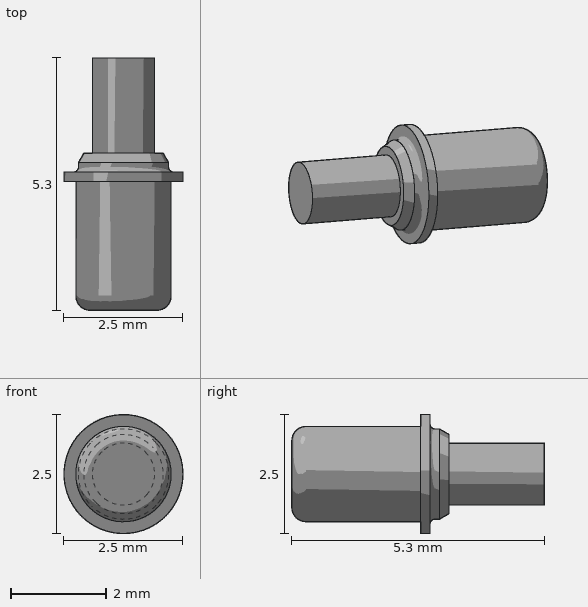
import cadquery as cq
import math

total_length = 5.3
stem_length = 2.0
collar_length = 0.4
flange_thickness = 0.2

stem_radius = 0.65
collar_radius = 0.95
flange_radius = 1.25
body_radius = 1.0

nose_fillet = 0.3
collar_fillet = 0.1
collar_taper_length = 0.2
collar_taper_angle = 30.0

body_length = total_length - stem_length - collar_length - flange_thickness
nose_y = -body_length
collar_end_y = flange_thickness + collar_length
stem_end_y = collar_end_y + stem_length
collar_end_radius = collar_radius - collar_taper_length * math.tan(math.radians(collar_taper_angle))

nose_mid = nose_fillet * math.sqrt(0.5)
collar_mid = collar_fillet * math.sqrt(0.5)

profile = (
    cq.Workplane("XY")
    .moveTo(0, nose_y)
    .lineTo(body_radius - nose_fillet, nose_y)
    .threePointArc(
        (body_radius - nose_fillet + nose_mid, nose_y + nose_fillet - nose_mid),
        (body_radius, nose_y + nose_fillet),
    )
    .lineTo(body_radius, 0)
    .lineTo(flange_radius, 0)
    .lineTo(flange_radius, flange_thickness)
    .lineTo(collar_radius + collar_fillet, flange_thickness)
    .threePointArc(
        (collar_radius + collar_fillet - collar_mid, flange_thickness + collar_fillet - collar_mid),
        (collar_radius, flange_thickness + collar_fillet),
    )
    .lineTo(collar_radius, collar_end_y - collar_taper_length)
    .lineTo(collar_end_radius, collar_end_y)
    .lineTo(stem_radius, collar_end_y)
    .lineTo(stem_radius, stem_end_y)
    .lineTo(0, stem_end_y)
    .close()
)

result = profile.revolve(360, (0, 0, 0), (0, 1, 0))